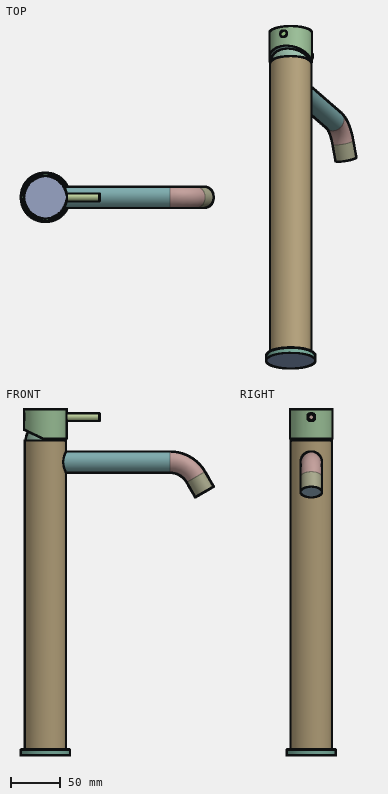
import cadquery as cq
import math

plate_diameter = 50.0
plate_height = 6.3
plate_chamfer = 1.0
column_radius = 21.0
column_top = 317.0

neck_radius = 20.2
neck_centre_drop = 1.0

overall_height = 348.8
handle_radius = 21.5
handle_bottom = 319.0
bevel_start_x = -2.5
bevel_angle = 25.0

lever_diameter = 8.0
lever_z = 340.7
lever_end_x = 55.0
lever_chamfer = 1.0
screw_hole_z = 341.0
screw_hole_radius = 3.5
screw_hole_depth = 1.0

spout_radius = 10.8
spout_z = 295.5
bend_start_x = 125.5
bend_radius = 30.0
bend_angle = 60.0
nozzle_length = 17.5


def make_spout():
    """Round bar along +X that bends down by bend_angle and ends in a nozzle."""
    turn = math.radians(bend_angle)

    def bend_point(angle):
        x = bend_start_x + bend_radius * math.sin(angle)
        z = spout_z - bend_radius * (1 - math.cos(angle))
        return (x, z)

    bend_end_x, bend_end_z = bend_point(turn)
    nozzle_end = (
        bend_end_x + nozzle_length * math.cos(turn),
        bend_end_z - nozzle_length * math.sin(turn),
    )
    path = (
        cq.Workplane("XZ")
        .moveTo(0, spout_z)
        .lineTo(bend_start_x, spout_z)
        .threePointArc(bend_point(turn / 2), (bend_end_x, bend_end_z))
        .lineTo(*nozzle_end)
    )
    return cq.Workplane("YZ").center(0, spout_z).circle(spout_radius).sweep(path)


def make_neck():
    """Ball whose upper part forms the dome between column and handle."""
    neck_centre_z = column_top - neck_centre_drop
    return cq.Workplane("XY").sphere(neck_radius).translate((0, 0, neck_centre_z))


def make_body():
    plate = (
        cq.Workplane("XY")
        .circle(plate_diameter / 2)
        .extrude(plate_height)
        .faces(">Z")
        .chamfer(plate_chamfer)
    )
    column = cq.Workplane("XY").circle(column_radius).extrude(column_top)
    return plate.union(column).union(make_spout()).union(make_neck())


def make_lever():
    return (
        cq.Workplane("YZ")
        .center(0, lever_z)
        .circle(lever_diameter / 2)
        .extrude(lever_end_x)
        .faces(">X")
        .chamfer(lever_chamfer)
    )


def cut_bevel(handle):
    """Cut away the underside on the -X side along a sloping plane."""
    bevel_end_x = -2 * handle_radius
    bevel_rise = (bevel_start_x - bevel_end_x) * math.tan(math.radians(bevel_angle))
    wedge = (
        cq.Workplane("XZ")
        .moveTo(bevel_start_x, handle_bottom)
        .lineTo(bevel_end_x, handle_bottom)
        .lineTo(bevel_end_x, handle_bottom + bevel_rise)
        .close()
        .extrude(2 * handle_radius, both=True)
    )
    return handle.cut(wedge)


def make_handle(body):
    cap = (
        cq.Workplane("XY")
        .workplane(offset=handle_bottom)
        .circle(handle_radius)
        .extrude(overall_height - handle_bottom)
    )
    screw_hole = (
        cq.Workplane("YZ")
        .workplane(offset=-handle_radius)
        .center(0, screw_hole_z)
        .circle(screw_hole_radius)
        .extrude(screw_hole_depth)
    )
    return cut_bevel(cap).cut(screw_hole).union(make_lever()).cut(body)


body = make_body()
handle = make_handle(body)

result = cq.Compound.makeCompound([body.val(), handle.val()])